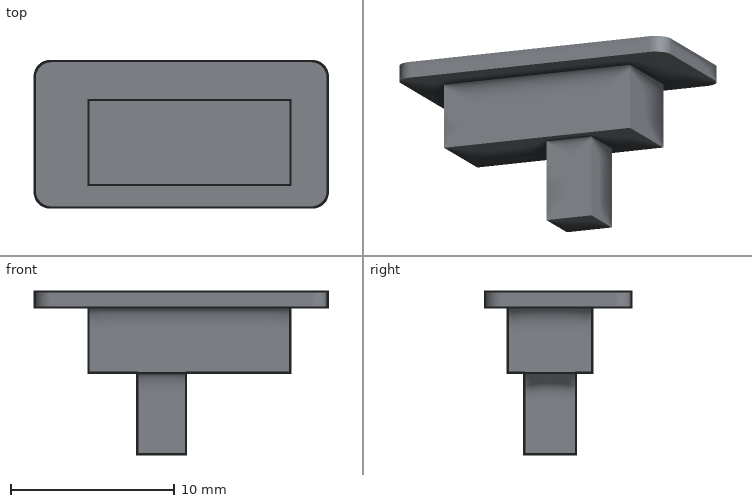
import cadquery as cq

plate_length = 18.0
plate_width = 9.0
plate_thickness = 1.0
plate_corner_radius = 1.0

block_length = 12.4
block_width = 5.2
block_drop = 4.0
block_center_x = 0.5
block_center_y = -0.5

stem_length = 3.0
stem_width = 3.2
stem_height = 5.0
stem_center_x = -1.2
stem_center_y = -0.5


def box_between(length, width, center_x, center_y, bottom, top):
    """Upright box centred at (center_x, center_y) between two heights."""
    base = cq.Workplane("XY", origin=(center_x, center_y, bottom))
    return base.rect(length, width).extrude(top - bottom)


def make_key():
    """Key block and the stem below it, as one solid."""
    block = box_between(
        block_length, block_width, block_center_x, block_center_y, -block_drop, plate_thickness
    )
    stem = box_between(
        stem_length, stem_width, stem_center_x, stem_center_y, -block_drop - stem_height, -block_drop
    )
    return block.union(stem)


def make_plate():
    """Rounded plate with a through window that fits the key block."""
    blank = box_between(plate_length, plate_width, 0, 0, 0, plate_thickness)
    rounded = blank.edges("|Z").fillet(plate_corner_radius)
    window = box_between(block_length, block_width, block_center_x, block_center_y, 0, plate_thickness)
    return rounded.cut(window)


plate = make_plate()
key = make_key()

result = cq.Compound.makeCompound([plate.val(), key.val()])